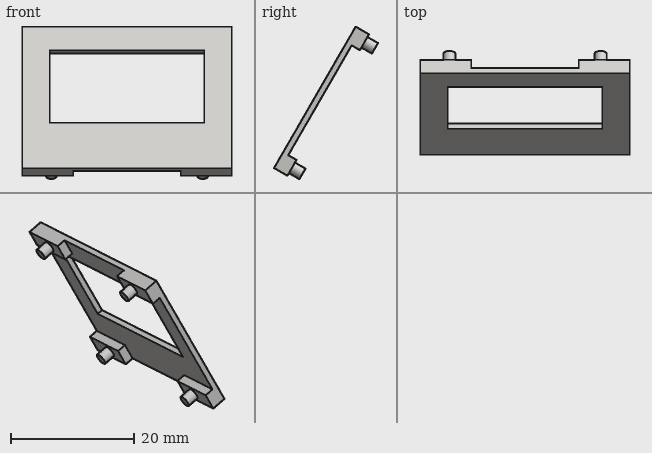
import cadquery as cq

width = 34.0
length = 26.52
plate_thickness = 1.0
tilt = 30.0

window_margin = 4.5
window_width = width - 2 * window_margin
window_height = 13.5

block_width = 8.3
block_height = 3.0
block_depth = 2.5

pin_diameter = 2.0
pin_end_depth = 4.5
pin_side_offset = 4.73


def front_box(box_width, depth, height, center_x, center_z):
    """Box reaching from the front face (Y = 0) back to the given depth."""
    box = cq.Workplane("XY").box(box_width, depth, height)
    return box.translate((center_x, depth / 2, center_z))


def corner_pin(center_x, center_z):
    """Pin along +Y, starting at the back face of its block."""
    pin_length = pin_end_depth - block_depth
    pin = cq.Solid.makeCylinder(
        pin_diameter / 2,
        pin_length,
        cq.Vector(center_x, block_depth, center_z),
        cq.Vector(0, 1, 0),
    )
    return cq.Workplane(obj=pin)


frame = front_box(width, plate_thickness, length, 0, 0)

window_center_z = length / 2 - window_margin - window_height / 2
frame = frame.cut(front_box(window_width, plate_thickness, window_height, 0, window_center_z))

block_x = (width - block_width) / 2
block_z = (length - block_height) / 2
pin_x = width / 2 - pin_side_offset
for side in (-1, 1):
    for end in (-1, 1):
        frame = frame.union(
            front_box(block_width, block_depth, block_height, side * block_x, end * block_z)
        )
        frame = frame.union(corner_pin(side * pin_x, end * block_z))

result = frame.rotate((0, 0, 0), (1, 0, 0), -tilt)